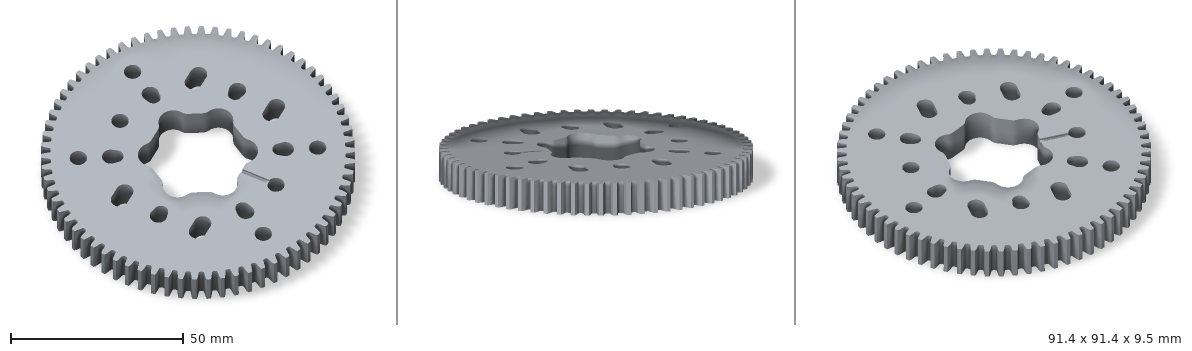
import cadquery as cq
import math

tooth_count = 70
thickness = 9.5
tip_radius = 45.7
pitch_radius = tip_radius * tooth_count / (tooth_count + 2)
pressure_angle = math.radians(14.5)
base_radius = pitch_radius * math.cos(pressure_angle)
root_radius = 42.9
root_fillet = 0.5
backlash = 0.1
tooth_angle = 2 * math.pi / tooth_count

bore_apothem = 14.2
lobe_distance = 13.2
lobe_radius = 4.3
lobe_blend = 2.9
lobe_count = 6
first_lobe_angle = 30

hole_diameter = 5.0
bolt_circle_radius = 25.4
outer_hole_radius = 34.8
outer_hole_angle = math.radians(30)
slot_travel = 3.4
taper_end_distance = 23.8
taper_end_radius = 2.1
taper_angles = [30, 90, 150, 210, 270, 330]
slot_hole_angle = math.radians(60)

groove_width = 1.4
groove_depth = 0.6

cut_height = 3 * thickness


def polar(radius, angle):
    return (radius * math.cos(angle), radius * math.sin(angle))


def involute(angle):
    return math.tan(angle) - angle


def half_tooth_angle(radius):
    """Half the angle that one tooth spans at a given radius on its flank."""
    flank_angle = math.acos(base_radius / radius)
    half_backlash = backlash / (2 * pitch_radius)
    return tooth_angle / 4 - half_backlash + involute(pressure_angle) - involute(flank_angle)


def gap_side():
    """Half of a tooth gap, tip to root, as radii with angles measured from the gap middle."""
    foot_radius = root_radius + root_fillet
    half_gap = {
        radius: tooth_angle / 2 - half_tooth_angle(radius)
        for radius in (tip_radius, pitch_radius, foot_radius)
    }
    diagonal = root_fillet * math.sqrt(0.5)
    round_half = half_gap[foot_radius] - (root_fillet - diagonal) / foot_radius
    side = list(half_gap.items())
    side.append((foot_radius - diagonal, round_half))
    side.append((root_radius, half_gap[foot_radius] - root_fillet / foot_radius))
    return side


def gear_blank():
    """Spur gear with one smooth curve per tooth gap and one tooth centred on +Y."""
    tip_half = half_tooth_angle(tip_radius)
    side = gap_side()
    outline = cq.Workplane("XY").moveTo(*polar(tip_radius, math.pi / 2 - tip_half))
    for tooth in range(tooth_count):
        middle = math.pi / 2 + tooth * tooth_angle
        gap_middle = middle + tooth_angle / 2
        descent = [polar(radius, gap_middle - angle) for radius, angle in side]
        ascent = [polar(radius, gap_middle + angle) for radius, angle in reversed(side)]
        outline = outline.threePointArc(polar(tip_radius, middle), descent[0])
        outline = outline.spline(descent[1:] + ascent, includeCurrent=True)
    return outline.close().extrude(thickness)


def central_bore():
    """Hexagon with flats facing X and a round lobe at each corner."""
    hexagon_diameter = 2 * bore_apothem / math.cos(math.pi / lobe_count)
    hexagon = cq.Workplane("XY").polygon(lobe_count, hexagon_diameter).extrude(cut_height)
    hexagon = hexagon.rotate((0, 0, 0), (0, 0, 1), first_lobe_angle)
    lobes = (
        cq.Workplane("XY")
        .polarArray(lobe_distance, first_lobe_angle, 360, lobe_count)
        .circle(lobe_radius)
        .extrude(cut_height)
    )
    return hexagon.union(lobes).edges("|Z").fillet(lobe_blend)


def round_holes():
    outer_x, outer_y = polar(outer_hole_radius, outer_hole_angle)
    centres = [(side * outer_x, end * outer_y) for side in (-1, 1) for end in (-1, 1)]
    centres += [(-bolt_circle_radius, 0), (bolt_circle_radius, 0)]
    return cq.Workplane("XY").pushPoints(centres).circle(hole_diameter / 2).extrude(cut_height)


def slots():
    """Slots along Y whose inner ends lie on the bolt circle, 60 degrees from X."""
    hole_x, hole_y = polar(bolt_circle_radius, slot_hole_angle)
    slot_y = hole_y + slot_travel / 2
    centres = [(side * hole_x, end * slot_y) for side in (-1, 1) for end in (-1, 1)]
    return (
        cq.Workplane("XY")
        .pushPoints(centres)
        .slot2D(slot_travel + hole_diameter, hole_diameter, 90)
        .extrude(cut_height)
    )


def tapered_hole(angle):
    """Bolt-circle hole that narrows toward the centre of the gear, closed by two tangent lines."""
    large = hole_diameter / 2
    small = taper_end_radius
    tangent = math.acos((large - small) / (bolt_circle_radius - taper_end_distance))
    along = math.cos(tangent)
    across = math.sin(tangent)
    hole = (
        cq.Workplane("XY")
        .moveTo(taper_end_distance - small * along, small * across)
        .threePointArc(
            (taper_end_distance - small, 0),
            (taper_end_distance - small * along, -small * across),
        )
        .lineTo(bolt_circle_radius - large * along, -large * across)
        .threePointArc(
            (bolt_circle_radius + large, 0),
            (bolt_circle_radius - large * along, large * across),
        )
        .close()
        .extrude(cut_height)
    )
    return hole.rotate((0, 0, 0), (0, 0, 1), angle)


def groove():
    return (
        cq.Workplane("XY")
        .workplane(offset=thickness - groove_depth)
        .center(bolt_circle_radius / 2, 0)
        .rect(bolt_circle_radius, groove_width)
        .extrude(cut_height)
    )


gear = gear_blank()
gear = gear.cut(central_bore()).cut(round_holes()).cut(slots())
for angle in taper_angles:
    gear = gear.cut(tapered_hole(angle))
result = gear.cut(groove())